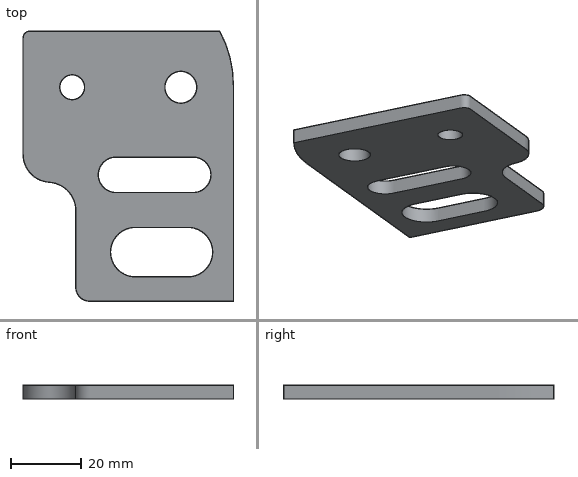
import cadquery as cq
import math

width = 60.0
length = 77.0
thickness = 4.0

step_x = 15.0
step_y = 33.9
step_radius = 8.0
top_corner_radius = 2.0
bottom_corner_radius = 4.0
arc_start_y = 61.6
arc_end_x = 56.05

round_holes = [(14.0, 61.0, 7.0), (45.0, 61.0, 9.0)]
slots = [(37.5, 36.0, 32.0, 10.0), (39.5, 14.0, 29.0, 14.0)]


def make_plate():
    arc_rise = length - arc_start_y
    arc_inset = width - arc_end_x
    arc_radius = (arc_rise**2 + arc_inset**2) / (2 * arc_inset)
    half_angle = math.asin(arc_rise / arc_radius) / 2
    arc_middle = (
        width - arc_radius * (1 - math.cos(half_angle)),
        arc_start_y + arc_radius * math.sin(half_angle),
    )
    step_middle_x = step_x / 2
    step_rise = math.sqrt(step_radius**2 - (step_radius - step_middle_x) ** 2)
    return (
        cq.Workplane("XY")
        .moveTo(step_x + bottom_corner_radius, 0)
        .lineTo(width, 0)
        .lineTo(width, arc_start_y)
        .threePointArc(arc_middle, (arc_end_x, length))
        .lineTo(top_corner_radius, length)
        .radiusArc((0, length - top_corner_radius), -top_corner_radius)
        .lineTo(0, step_y + step_rise)
        .radiusArc((step_middle_x, step_y), -step_radius)
        .radiusArc((step_x, step_y - step_rise), step_radius)
        .lineTo(step_x, bottom_corner_radius)
        .radiusArc((step_x + bottom_corner_radius, 0), -bottom_corner_radius)
        .close()
        .extrude(thickness)
    )


def cut_openings(plate):
    for x, y, diameter in round_holes:
        hole = cq.Workplane("XY").center(x, y).circle(diameter / 2).extrude(thickness)
        plate = plate.cut(hole)
    for x, y, slot_length, slot_width in slots:
        slot = cq.Workplane("XY").center(x, y).slot2D(slot_length, slot_width).extrude(thickness)
        plate = plate.cut(slot)
    return plate


result = cut_openings(make_plate())